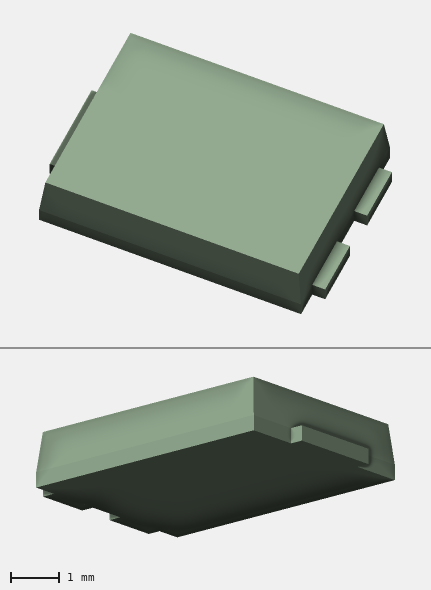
import cadquery as cq

total_length = 6.5
body_width = 4.44
body_height = 1.2

lead_reach = 0.29
lead_thickness = 0.33
wide_lead_width = 2.09
narrow_lead_width = 1.235
narrow_lead_offset = 1.045

body_length = total_length - 2 * lead_reach
base_height = lead_thickness
top_inset = 0.1


def make_body():
    """Package body: a rectangular base under a tapered upper part."""
    base = cq.Workplane("XY").rect(body_length, body_width).extrude(base_height)
    upper = (
        cq.Workplane("XY")
        .workplane(offset=base_height)
        .rect(body_length, body_width)
        .workplane(offset=body_height - base_height)
        .rect(body_length - 2 * top_inset, body_width - 2 * top_inset)
        .loft(ruled=True)
    )
    return base.union(upper)


def make_lead(side, width, y_middle):
    """Flat lead touching the body's end face at -X (side -1) or +X (side 1)."""
    x_middle = side * (body_length + lead_reach) / 2
    return (
        cq.Workplane("XY")
        .center(x_middle, y_middle)
        .rect(lead_reach, width)
        .extrude(lead_thickness)
    )


body = make_body()
wide_lead = make_lead(-1, wide_lead_width, 0)
narrow_leads = [
    make_lead(1, narrow_lead_width, y_sign * narrow_lead_offset)
    for y_sign in (-1, 1)
]

result = cq.Compound.makeCompound(
    [body.val(), wide_lead.val(), *[lead.val() for lead in narrow_leads]]
)